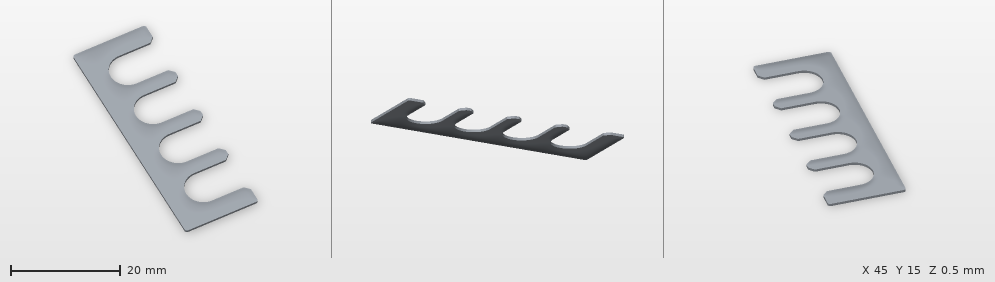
import cadquery as cq

length = 45.0
width = length / 3
thickness = 0.5
corner_radius = 0.5

slot_count = 4
slot_pitch = 10.0
slot_width = 7.0
slot_floor = 4.0
mouth_chamfer = 1.0


def make_plate():
    plate = cq.Workplane("XY").box(length, width, thickness)
    return plate.edges("|Z").fillet(corner_radius)


def make_slot(center_x):
    """Round-bottomed slot whose mouth flares out through the +Y edge."""
    radius = slot_width / 2
    edge_y = width / 2
    bottom_y = -width / 2 + slot_floor
    arc_y = bottom_y + radius
    flare_y = edge_y - mouth_chamfer
    mouth_half = radius + mouth_chamfer
    return (
        cq.Workplane("XY", origin=(center_x, 0, -thickness / 2))
        .moveTo(-mouth_half, edge_y)
        .lineTo(-radius, flare_y)
        .lineTo(-radius, arc_y)
        .threePointArc((0, bottom_y), (radius, arc_y))
        .lineTo(radius, flare_y)
        .lineTo(mouth_half, edge_y)
        .close()
        .extrude(thickness)
    )


result = make_plate()
for index in range(slot_count):
    slot_x = (index - (slot_count - 1) / 2) * slot_pitch
    result = result.cut(make_slot(slot_x))